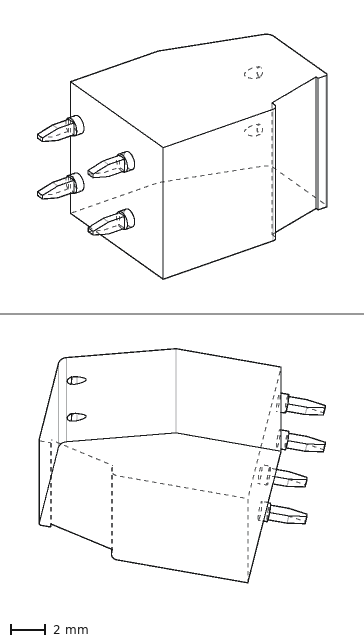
import cadquery as cq
import math


overall_length = 15.3
width = 9.3
height = 8.74
pin_length = 2.71
housing_length = overall_length - pin_length
left_wall_length = 6.18
left_corner_x = 2.02
left_corner_radius = 0.52
lip_x = 7.86
lip_length = 0.7
lip_overhang = 0.2
lip_radius = 0.14
shoulder_x = 8.66
shoulder_y = 8.1
shoulder_radius = 0.4

pole_pitch = 3.81
pole_heights = (-pole_pitch / 2, pole_pitch / 2)
first_pin_x = 0.81
pin_row_pitch = 5.08
pin_xs = (first_pin_x, first_pin_x + pin_row_pitch)
collar_diameter = 1.1
collar_length = 0.5
blade_width = 0.52
blade_height = 0.8
tip_height = 0.25
tip_length = 1.07
embed_depth = 0.15

stud_x = 2.07
stud_radius = 0.5
stud_start_y = 10.1
stud_shoulder_y = 11.66
cap_y = 11.96
cap_radius = 0.45
cap_height = 0.25


def make_housing():
    """Extruded side profile with a sloping left face and a lipped, stepped right side."""
    lip_y = housing_length - lip_length
    profile = [
        (0, 0),
        (width, 0),
        (width, shoulder_y),
        (shoulder_x, shoulder_y),
        (lip_x - lip_overhang, lip_y),
        (lip_x, lip_y),
        (lip_x, housing_length),
        (left_corner_x, housing_length),
        (0, left_wall_length),
    ]
    rounded_corners = [
        (width, shoulder_y, shoulder_radius),
        (lip_x, housing_length, lip_radius),
        (left_corner_x, housing_length, left_corner_radius),
    ]
    housing = cq.Workplane("XY").polyline(profile).close().extrude(height / 2, both=True)
    for x, y, radius in rounded_corners:
        edge = housing.edges(cq.selectors.NearestToPointSelector((x, y, 0)))
        housing = edge.fillet(radius)
    return housing


def make_pin(x, z):
    """Round collar carrying a flat blade that tapers in Z towards its tip."""
    collar = (
        cq.Workplane("XZ", origin=(x, embed_depth, z))
        .circle(collar_diameter / 2)
        .extrude(embed_depth + collar_length)
    )
    taper_y = tip_length - pin_length
    blade_outline = [
        (0, blade_height / 2),
        (taper_y, blade_height / 2),
        (-pin_length, tip_height / 2),
        (-pin_length, -tip_height / 2),
        (taper_y, -blade_height / 2),
        (0, -blade_height / 2),
    ]
    blade = (
        cq.Workplane("YZ", origin=(x, 0, z))
        .polyline(blade_outline)
        .close()
        .extrude(blade_width / 2, both=True)
    )
    return collar.union(blade)


def make_stud(z):
    """Cylinder along Y with a spherical shoulder and a domed cap that overhangs the neck."""
    shoulder_rise = cap_y - stud_shoulder_y
    neck_radius = math.sqrt(stud_radius**2 - shoulder_rise**2)
    mid_angle = math.asin(shoulder_rise / stud_radius) / 2
    shoulder_middle = (
        stud_radius * math.cos(mid_angle),
        stud_shoulder_y + stud_radius * math.sin(mid_angle),
    )
    dome_radius = (cap_radius**2 + cap_height**2) / (2 * cap_height)
    dome_center_y = cap_y + cap_height - dome_radius
    dome_angle = math.asin(cap_radius / dome_radius) / 2
    dome_middle = (
        dome_radius * math.sin(dome_angle),
        dome_center_y + dome_radius * math.cos(dome_angle),
    )
    return (
        cq.Workplane("XY", origin=(stud_x, 0, z))
        .moveTo(0, stud_start_y)
        .lineTo(stud_radius, stud_start_y)
        .lineTo(stud_radius, stud_shoulder_y)
        .threePointArc(shoulder_middle, (neck_radius, cap_y))
        .lineTo(cap_radius, cap_y)
        .threePointArc(dome_middle, (0, cap_y + cap_height))
        .close()
        .revolve(axisStart=(0, 0, 0), axisEnd=(0, 1, 0))
    )


result = make_housing()
for pole_z in pole_heights:
    result = result.union(make_stud(pole_z))
    for pin_x in pin_xs:
        result = result.union(make_pin(pin_x, pole_z))